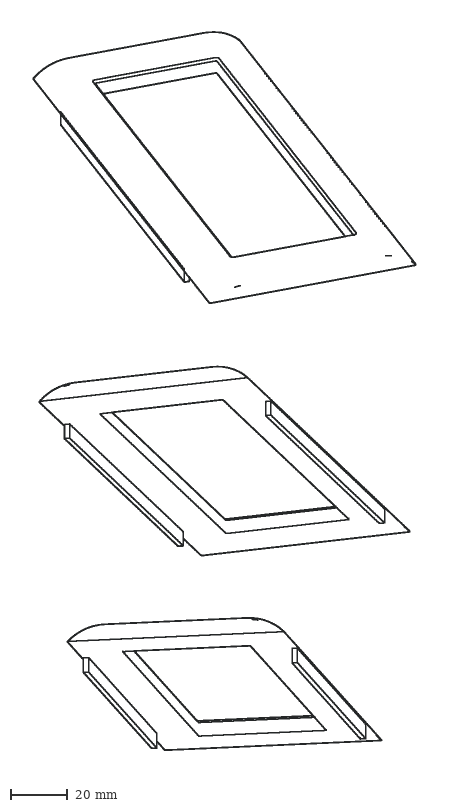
import cadquery as cq
import math

length = 175.0
width = 78.0
total_height = 11.0
plate_height = 5.8
flat_width = 51.1
end_round = 0.7

window_length = 135.8
window_width = 45.8
rim_bevel = 0.9
window_corner_radius = 0.4

rail_length = 122.3
rail_thickness = 2.0
rail_edge_inset = 0.5
rail_height = total_height - plate_height


def cover_plate():
    """Flat-topped plate whose long sides fall away in arcs tangent to the top."""
    half_width = width / 2
    half_flat = flat_width / 2
    run = half_width - half_flat
    radius = (run**2 + plate_height**2) / (2 * plate_height)
    half_sweep = math.asin(run / radius) / 2
    mid_y = half_flat + radius * math.sin(half_sweep)
    mid_z = plate_height - radius * (1 - math.cos(half_sweep))
    plate = (
        cq.Workplane("YZ")
        .moveTo(-half_width, 0)
        .lineTo(half_width, 0)
        .threePointArc((mid_y, mid_z), (half_flat, plate_height))
        .lineTo(-half_flat, plate_height)
        .threePointArc((-mid_y, mid_z), (-half_width, 0))
        .close()
        .extrude(length / 2, both=True)
    )
    return plate.faces("<X or >X").edges("not <Z").fillet(end_round)


def rounded_outline(margin, bottom, height):
    """Prism of the window outline grown outward by margin, rounding its corners to match."""
    return (
        cq.Workplane("XY")
        .workplane(offset=bottom)
        .rect(window_length + 2 * margin, window_width + 2 * margin)
        .extrude(height)
        .edges("|Z")
        .fillet(window_corner_radius + margin)
    )


def window():
    """Round-cornered cutter that widens at the top to bevel the rim."""
    opening = rounded_outline(0, 0, plate_height)
    rim_bottom = plate_height - rim_bevel
    rim = rounded_outline(rim_bevel, rim_bottom, 2 * rim_bevel).faces("<Z").chamfer(rim_bevel)
    return opening.union(rim)


def rail(side):
    """Rail under one long edge; side is -1 or 1 along Y."""
    center_y = side * (width / 2 - rail_edge_inset - rail_thickness / 2)
    return (
        cq.Workplane("XY")
        .center(0, center_y)
        .rect(rail_length, rail_thickness)
        .extrude(-rail_height)
    )


result = cover_plate().cut(window())
for side in (-1, 1):
    result = result.union(rail(side))